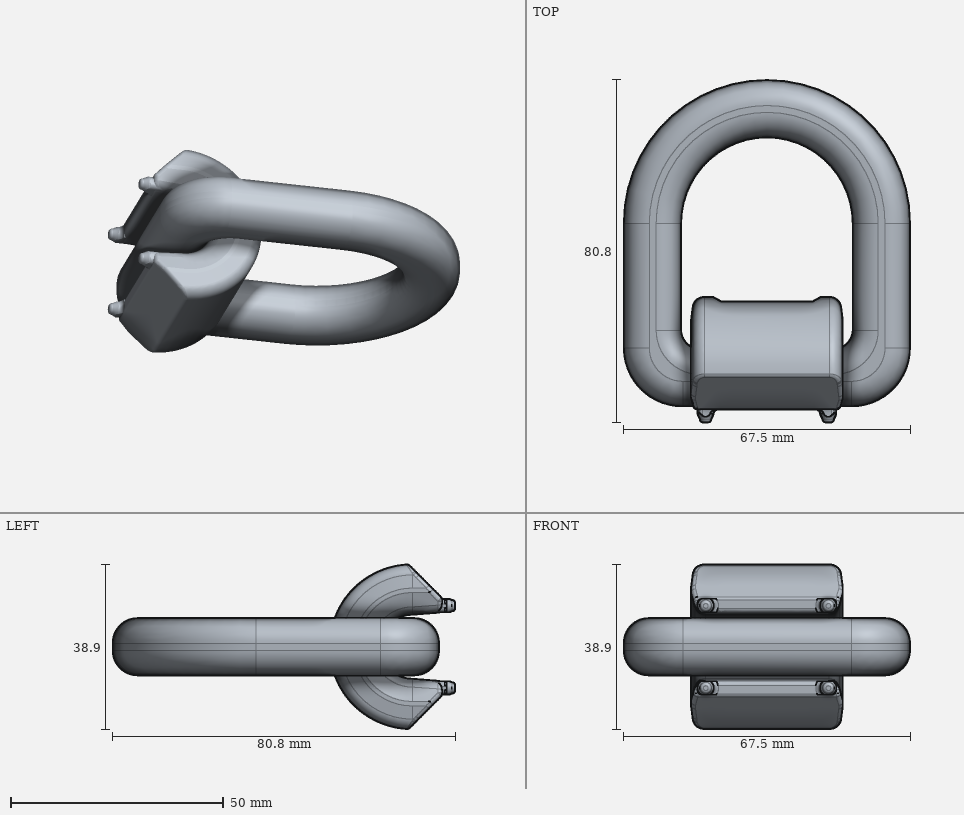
import cadquery as cq

OVERALL_LENGTH = 80.75
RING_WIDTH = 67.5
BOW_RADIUS = RING_WIDTH / 2
BAR = 13.6
BAR_ROUND = 6.0
RING_FOOT_Y = -43.2
OUTER_CORNER = 13.9
INNER_CORNER = 4.45

CURL_Y = -36.8
BORE_RADIUS = 7.5
BACK_RADIUS = 19.5
KNEE_INNER = 12.8
KNEE_OUTER = 13.9
KNEE_HALF_WIDTH = 17.9
BACK_HALF_WIDTH = 17.2
BORE_HALF_WIDTH = 16.55
BACK_ROUND = 2.8
BORE_ROUND = 2.6

LEG_END_Y = -43.9
LEG_END_BORE = 8.1
BEVEL_FOOT = 11.5
LEG_EDGE_ROUND = 1.05

PEG_X = 14.45
PEG_Z = 9.7
PEG_EMBED = 1.9
PEG_TIP_Y = BOW_RADIUS - OVERALL_LENGTH
PEG_ROOT_RADIUS = 1.9
PEG_TIP_RADIUS = 1.4
PEG_TIP_ROUND = 0.8
PEG_FLARE = 1.05
PEG_CORNER_ROUND = 1.2

RELIEF_FLOOR_Y = -18.4
RELIEF_FLOOR_HALF = 10.8
RELIEF_MOUTH_HALF = 12.75

BEVEL_FACES = (
    cq.selectors.ParallelDirSelector(cq.Vector(0, -1, 1))
    + cq.selectors.ParallelDirSelector(cq.Vector(0, -1, -1))
)
LEG_END_FACES = cq.selectors.ParallelDirSelector(cq.Vector(0, 1, 0))


def loop_outline(half_width, foot_y, corner):
    """Round bow at the top, straight sides, and a straight foot with rounded corners."""
    return (
        cq.Sketch()
        .push([(0, foot_y / 2)])
        .rect(2 * half_width, -foot_y)
        .reset()
        .vertices("<Y")
        .fillet(corner)
        .reset()
        .circle(half_width)
        .clean()
    )


def make_ring():
    outline = loop_outline(BOW_RADIUS, RING_FOOT_Y, OUTER_CORNER)
    opening = loop_outline(BOW_RADIUS - BAR, RING_FOOT_Y + BAR, INNER_CORNER)
    blank = cq.Workplane("XY").placeSketch(outline).extrude(BAR / 2, both=True)
    hole = cq.Workplane("XY").placeSketch(opening).extrude(BAR / 2, both=True)
    return blank.cut(hole).faces("|Z").edges().fillet(BAR_ROUND)


def curl_plane():
    """XZ plane through the curl axis, facing the leg ends."""
    return cq.Workplane(cq.Plane((0, CURL_Y, 0), xDir=(1, 0, 0), normal=(0, -1, 0)))


def wall_section(bore):
    """Cross-section of the bracket wall: X across, Y outward from the curl axis."""
    right_side = [
        (BORE_HALF_WIDTH, bore),
        (KNEE_HALF_WIDTH, KNEE_INNER),
        (KNEE_HALF_WIDTH, KNEE_OUTER),
        (BACK_HALF_WIDTH, BACK_RADIUS),
    ]
    left_side = [(-x, r) for x, r in reversed(right_side)]
    return (
        cq.Sketch()
        .polygon(right_side + left_side + right_side[:1])
        .vertices(">Y")
        .fillet(BACK_ROUND)
        .reset()
        .vertices("<Y")
        .fillet(BORE_ROUND)
    )


def make_curl():
    """Half turn of the wall section around the back of the ring."""
    return curl_plane().placeSketch(wall_section(BORE_RADIUS)).revolve(180, (0.8, 0), (0, 0))


def make_leg():
    """Upper leg, from the end of the curl to the leg end."""
    leg_length = CURL_Y - LEG_END_Y
    end_section = wall_section(LEG_END_BORE).moved(cq.Location(cq.Vector(0, 0, leg_length)))
    return curl_plane().placeSketch(wall_section(BORE_RADIUS), end_section).loft()


def make_bevel_cut():
    """Wedge above the 45 degree bevel of the upper leg."""
    run = BACK_RADIUS
    foot = (LEG_END_Y, BEVEL_FOOT)
    far_corner = (LEG_END_Y + run, BEVEL_FOOT + run)
    top_corner = (LEG_END_Y, BEVEL_FOOT + run)
    wedge = cq.Workplane("YZ").polyline([foot, far_corner, top_corner]).close()
    return wedge.extrude(2 * KNEE_HALF_WIDTH, both=True)


def make_peg():
    """Tapered peg with a rounded tip and a flared root, trimmed flush with the leg."""
    root_y = LEG_END_Y + PEG_EMBED
    flare_radius = PEG_ROOT_RADIUS + PEG_FLARE
    turned = (
        cq.Workplane("XY", origin=(PEG_X, 0, PEG_Z))
        .moveTo(0, root_y)
        .lineTo(flare_radius, root_y)
        .lineTo(flare_radius, LEG_END_Y)
        .radiusArc((PEG_ROOT_RADIUS, LEG_END_Y - PEG_FLARE), -PEG_FLARE)
        .lineTo(PEG_TIP_RADIUS, PEG_TIP_Y + PEG_TIP_ROUND)
        .radiusArc((PEG_TIP_RADIUS - PEG_TIP_ROUND, PEG_TIP_Y), PEG_TIP_ROUND)
        .lineTo(0, PEG_TIP_Y)
        .close()
        .revolve(360, (0, 0), (0, 1))
    )
    leg_envelope = (
        cq.Workplane("XY", origin=(0, PEG_TIP_Y, PEG_Z))
        .box(
            PEG_X + PEG_ROOT_RADIUS,
            root_y - PEG_TIP_Y,
            2 * (PEG_Z - LEG_END_BORE),
            centered=(False, False, True),
        )
        .edges("|Y and >X")
        .fillet(PEG_CORNER_ROUND)
    )
    return turned.intersect(leg_envelope)


def make_relief_cut():
    back_y = CURL_Y + BACK_RADIUS
    trapezoid = [
        (-RELIEF_FLOOR_HALF, RELIEF_FLOOR_Y),
        (RELIEF_FLOOR_HALF, RELIEF_FLOOR_Y),
        (RELIEF_MOUTH_HALF, back_y),
        (-RELIEF_MOUTH_HALF, back_y),
    ]
    return cq.Workplane("XY").polyline(trapezoid).close().extrude(BACK_RADIUS, both=True)


def make_bracket():
    leg = make_leg()
    bevel_cut = make_bevel_cut()
    bracket = make_curl()
    for side_leg in (leg, leg.mirror("XY")):
        bracket = bracket.union(side_leg)
    for wedge in (bevel_cut, bevel_cut.mirror("XY")):
        bracket = bracket.cut(wedge)
    bracket = bracket.faces(BEVEL_FACES + LEG_END_FACES).edges().fillet(LEG_EDGE_ROUND)

    upper_peg = make_peg()
    for right_peg in (upper_peg, upper_peg.mirror("XY")):
        bracket = bracket.union(right_peg).union(right_peg.mirror("YZ"))
    return bracket.cut(make_relief_cut())


ring = make_ring()
bracket = make_bracket()

result = cq.Compound.makeCompound([ring.solids().val(), bracket.solids().val()])